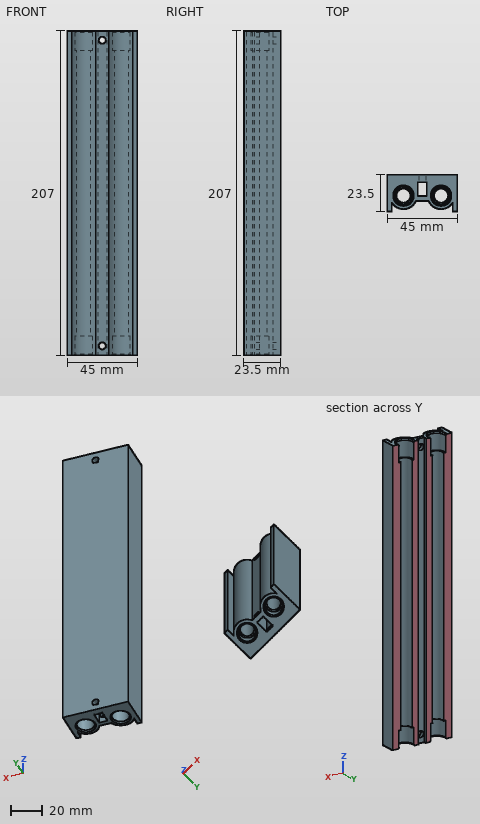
import cadquery as cq

length = 207.0
width = 45.0
depth = 23.5
back_y = depth / 2
front_y = -depth / 2

flange_thickness = 3.1
web_depth = 17.0
channel_width = width - 2 * flange_thickness
channel_depth = depth - web_depth

rib_spacing = 24.0
rib_radius = 8.7
rib_inset_from_back = 13.5
rib_y = back_y - rib_inset_from_back
rib_points = [(-rib_spacing / 2, rib_y), (rib_spacing / 2, rib_y)]
bore_diameter = 9.0

port_diameter = 11.4
port_mouth_diameter = 13.2
port_depth = 12.5
port_chamfer = (port_mouth_diameter - port_diameter) / 2

duct_width = 5.5
duct_depth = 8.7
duct_wall = 5.0
duct_y = back_y - duct_wall - duct_depth / 2

mounting_hole_diameter = 4.3
mounting_hole_inset = 6.0


def extruded_body():
    block = cq.Workplane("XY").rect(width, depth).extrude(length)
    channel = (
        cq.Workplane("XY")
        .center(0, front_y + channel_depth / 2)
        .rect(channel_width, channel_depth)
        .extrude(length)
    )
    ribs = cq.Workplane("XY").pushPoints(rib_points).circle(rib_radius).extrude(length)
    return block.cut(channel.cut(ribs))


def lengthwise_passages():
    bores = cq.Workplane("XY").pushPoints(rib_points).circle(bore_diameter / 2).extrude(length)
    duct = cq.Workplane("XY").center(0, duct_y).rect(duct_width, duct_depth).extrude(length)
    return bores.union(duct)


def bottom_port(x, y):
    """Counterbore with a chamfered mouth, opening at z = 0."""
    mouth_radius = port_mouth_diameter / 2
    counterbore = cq.Solid.makeCylinder(port_diameter / 2, port_depth, cq.Vector(x, y, 0))
    mouth = cq.Solid.makeCone(mouth_radius, port_diameter / 2, port_chamfer, cq.Vector(x, y, 0))
    return counterbore.fuse(mouth)


def mounting_holes():
    hole_heights = [mounting_hole_inset, length - mounting_hole_inset]
    return (
        cq.Workplane("XZ", origin=(0, back_y, 0))
        .pushPoints([(0, z) for z in hole_heights])
        .circle(mounting_hole_diameter / 2)
        .extrude(depth)
    )


result = extruded_body().cut(lengthwise_passages()).cut(mounting_holes())
for x, y in rib_points:
    port = bottom_port(x, y)
    result = result.cut(port)
    result = result.cut(port.mirror("XY", cq.Vector(0, 0, length / 2)))